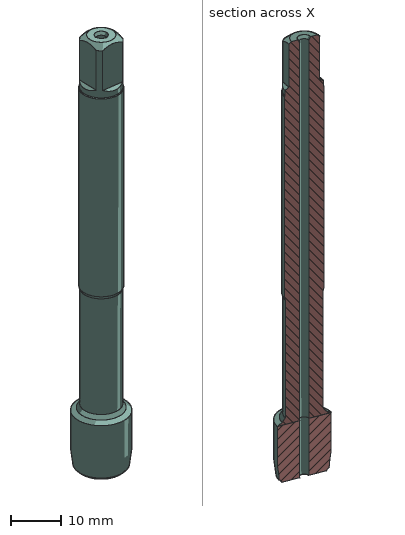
import cadquery as cq

length = 100.0
bore_diameter = 2.0

head_diameter = 12.2
lead_diameter = 11.3
tip_diameter = 9.9
tip_chamfer_height = 0.7
lead_end_z = 4.3
head_top_z = 13.1

shoulder_diameter = 9.9
shoulder_z = 13.7
neck_diameter = 8.6
neck_start_z = 14.6
neck_end_z = 41.4
shank_diameter = 9.0
shank_start_z = 42.0
shank_end_z = 87.8
shank_end_chamfer = 0.2

drive_diameter = 8.7
across_flats = 7.0
flat_bottom_z = 89.7
ledge_drop = 0.5
drive_top_diameter = 5.8
drive_chamfer_height = 1.1
center_mouth_diameter = 2.8
center_chamfer_height = 0.7


def turned(profile):
    """Revolve a list of (diameter, z) points about Z, with the axis closing the outline."""
    bottom_z = profile[0][1]
    top_z = profile[-1][1]
    points = [(diameter / 2, z) for diameter, z in profile]
    outline = cq.Workplane("XZ").polyline([(0, bottom_z)] + points + [(0, top_z)]).close()
    return outline.revolve(360, (0, 0), (0, 1))


def drive_flat_cutter():
    """Wedge that cuts one flat and its outward-sloping ledge on the +X side."""
    flat = across_flats / 2
    outside = drive_diameter / 2
    return (
        cq.Workplane("XZ")
        .polyline([
            (flat, length),
            (flat, flat_bottom_z),
            (outside, flat_bottom_z - ledge_drop),
            (outside, length),
        ])
        .close()
        .extrude(drive_diameter / 2, both=True)
    )


def make_bore():
    """Through hole along Z, with a conical mouth at the drive end."""
    return turned([
        (bore_diameter, 0),
        (bore_diameter, length - center_chamfer_height),
        (center_mouth_diameter, length),
    ])


def make_thread_head():
    """Plain cylindrical envelope of the thread, with its lead taper and tip chamfer."""
    head = turned([
        (tip_diameter, 0),
        (lead_diameter, tip_chamfer_height),
        (head_diameter, lead_end_z),
        (head_diameter, head_top_z),
    ])
    return head.cut(make_bore())


def make_shank():
    """Stepped shank that sits on the head and ends in a square drive."""
    shank = turned([
        (head_diameter, head_top_z),
        (shoulder_diameter, shoulder_z),
        (neck_diameter, neck_start_z),
        (neck_diameter, neck_end_z),
        (shank_diameter, shank_start_z),
        (shank_diameter, shank_end_z),
        (drive_diameter, shank_end_z + shank_end_chamfer),
        (drive_diameter, length - drive_chamfer_height),
        (drive_top_diameter, length),
    ])
    for angle in (0, 90, 180, 270):
        shank = shank.cut(drive_flat_cutter().rotate((0, 0, 0), (0, 0, 1), angle))
    return shank.cut(make_bore())


thread_head = make_thread_head()
shank = make_shank()

result = cq.Compound.makeCompound([thread_head.val(), shank.val()])